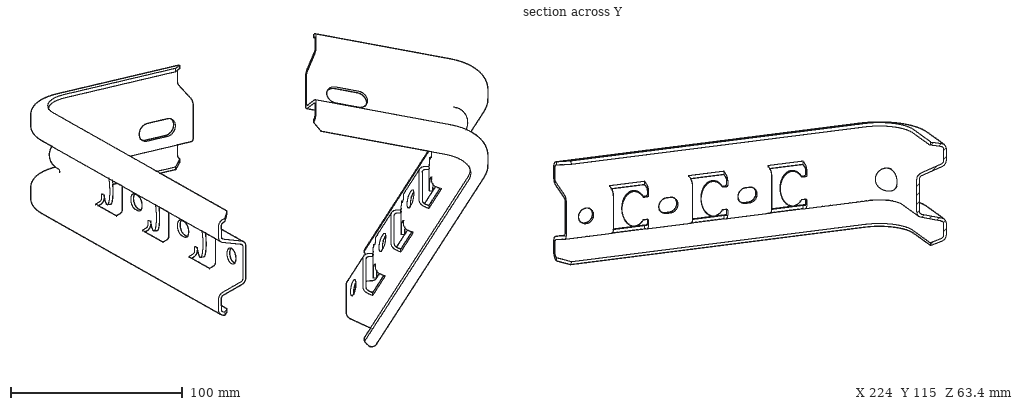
import cadquery as cq
import math

LONG_ARM_X = 224.0
SHORT_ARM_Y = 115.0
RAIL_WIDTH = 63.43
RAIL_DEPTH = 19.0

SHEET = 2.0
INNER_BEND = 2.0
OUTER_BEND = INNER_BEND + SHEET
WEB_HALF_FLAT = 9.8
FLANK_ANGLE = 17.0
LIP_ANGLE = 14.0
LIP_DEPTH = 10.0
LIP_BEVEL_ALONG = 6.4
LIP_BEVEL_ACROSS = 5.6
BETWEEN_LIPS = RAIL_WIDTH - 4 * OUTER_BEND

CORNER_RADIUS = 31.5

PITCH = 50.0
SLOT_COUNT = 2
WINDOW_COUNT = 3
FIRST_WINDOW_X = 72.0
WINDOW_LENGTH = 22.2
WINDOW_DEPTH = 6.0
FIRST_SLOT_X = 109.5
SLOT_LENGTH = 12.0
SLOT_HEIGHT = 9.5
END_HOLE_X = 211.5
END_HOLE_DIAMETER = 9.5

NECK_HALF_HEIGHT = 6.9
NECK_FILLET = 0.9
NECK_LENGTH = 3.6
TAB_BEND_X = 3.0
TAB_ANGLE = 17.0
TAB_CENTRE_X = 8.7
TAB_HALF_LENGTH = 7.1
TAB_HALF_HEIGHT = 10.6

ARM_SLOT_LENGTH = 25.0
ARM_SLOT_HEIGHT = 11.0
ARM_SLOT_FROM_END = 25.0

DOME_RADIUS = 9.0
DOME_TIP_RADIUS = 20.9
DOME_FILLET = 1.5


def profile_face():
    """Closed rail section in the YZ plane: Y is depth (0 at the front), Z is width."""
    flank = math.radians(FLANK_ANGLE)
    lip = math.radians(LIP_ANGLE)
    flank_turn = math.pi / 2 - flank
    web_front = RAIL_DEPTH - SHEET

    lip_end = (LIP_DEPTH, RAIL_WIDTH / 2)
    outer = (0.0, RAIL_WIDTH / 2 - LIP_DEPTH * math.tan(lip))
    web_corner_z = WEB_HALF_FLAT + INNER_BEND * math.tan(flank_turn / 2)
    web = (web_front, web_corner_z)
    inner = (0.0, web_corner_z + web_front * math.tan(flank))

    lip_shift = SHEET * math.tan((math.pi / 2 - lip) / 2)
    flank_shift = SHEET * math.tan(flank_turn / 2)
    lip_end_back = (LIP_DEPTH + SHEET * math.sin(lip), RAIL_WIDTH / 2 - SHEET * math.cos(lip))
    outer_back = (SHEET, outer[1] - lip_shift)
    inner_back = (SHEET, inner[1] + flank_shift)
    web_back = (RAIL_DEPTH, web[1] + flank_shift)

    upper_front = [lip_end, outer, inner, web]
    upper_back = [web_back, inner_back, outer_back, lip_end_back]
    lower_front = [(y, -z) for y, z in reversed(upper_front)]
    lower_back = [(y, -z) for y, z in reversed(upper_back)]
    outline = upper_front + lower_front + lower_back + upper_back
    points = [cq.Vector(0, y, z) for y, z in outline]
    face = cq.Face.makeFromWires(cq.Wire.makePolygon(points, close=True))

    def rounded(section, corners, radius):
        targets = [cq.Vector(0, y, side * z) for y, z in corners for side in (1, -1)]
        vertices = [
            v for v in section.Vertices()
            if any((v.Center() - target).Length < SHEET / 100 for target in targets)
        ]
        return section.fillet2D(radius, vertices)

    face = rounded(face, [outer, inner, web_back], OUTER_BEND)
    return rounded(face, [web, outer_back, inner_back], INNER_BEND)


def make_rail():
    """Two straight arms joined by a quarter-turn bend."""
    section = profile_face().translate(cq.Vector(CORNER_RADIUS, 0, 0))
    axis_start = cq.Vector(CORNER_RADIUS, CORNER_RADIUS, 0)
    axis_end = axis_start + cq.Vector(0, 0, 1)
    long_arm = cq.Solid.extrudeLinear(section, cq.Vector(LONG_ARM_X - CORNER_RADIUS, 0, 0))
    bend = cq.Solid.revolve(section, -90, axis_start, axis_end)
    short_section = section.rotate(axis_start, axis_end, -90)
    short_arm = cq.Solid.extrudeLinear(short_section, cq.Vector(0, SHORT_ARM_Y - CORNER_RADIUS, 0))
    return cq.Workplane(long_arm).union(cq.Workplane(bend)).union(cq.Workplane(short_arm))


def lip_corner_cutter(arm_end, swap_axes):
    """Prism that bevels the free corner of both lips at the end of one arm."""
    clear_depth = LIP_DEPTH + SHEET
    clear_run = LIP_BEVEL_ALONG * (SHEET + LIP_BEVEL_ACROSS) / LIP_BEVEL_ACROSS
    corners = [
        (arm_end, LIP_DEPTH - LIP_BEVEL_ACROSS),
        (arm_end, clear_depth),
        (arm_end - clear_run, clear_depth),
    ]
    if swap_axes:
        corners = [(depth, along) for along, depth in corners]
    triangle = cq.Workplane().polyline(corners).close()
    between_lips = cq.Workplane().box(2 * LONG_ARM_X, 2 * SHORT_ARM_Y, BETWEEN_LIPS)
    return triangle.extrude(RAIL_WIDTH / 2, both=True).cut(between_lips)


def diagonal_place(body, radius):
    """Stand a body built along +Z on the corner's outward diagonal, at a radius from the bend axis."""
    upright = body.translate((0, 0, radius)).rotate((0, 0, 0), (0, 1, 0), -90)
    return upright.rotate((0, 0, 0), (0, 0, 1), 45).translate((CORNER_RADIUS, CORNER_RADIUS, 0))


def add_dome(rail):
    """Press a hollow dome out of the corner web and blend its foot into the web."""
    centre_radius = DOME_TIP_RADIUS - DOME_RADIUS
    web_radius = CORNER_RADIUS - RAIL_DEPTH + SHEET
    bend_axis = cq.Workplane().center(CORNER_RADIUS, CORNER_RADIUS)
    bend_core = bend_axis.circle(web_radius - SHEET / 2).extrude(RAIL_WIDTH / 2, both=True)
    ball = diagonal_place(cq.Workplane().sphere(DOME_RADIUS), centre_radius).cut(bend_core)
    cavity = diagonal_place(cq.Workplane().sphere(DOME_RADIUS - SHEET), centre_radius)
    foot = cq.selectors.BoxSelector(
        (0, 0, -WEB_HALF_FLAT / 2),
        (CORNER_RADIUS - SHEET / 10, CORNER_RADIUS - SHEET / 10, WEB_HALF_FLAT / 2),
    )
    return rail.union(ball).edges(foot).fillet(DOME_FILLET).cut(cavity)


def slot_cutter(length, height):
    """Round-ended slot along X, long enough in Y to pass through the rail."""
    return cq.Workplane("XZ").slot2D(length, height).extrude(RAIL_DEPTH * 2, both=True)


def make_window():
    """Window cut through the web and flanks, measured from its -X side."""
    window = cq.Workplane().box(
        WINDOW_LENGTH, WINDOW_DEPTH, BETWEEN_LIPS, centered=(False, False, True)
    )
    return window.translate((0, RAIL_DEPTH - WINDOW_DEPTH, 0))


def make_tab():
    """Elliptical tab on a short neck, bent toward the front, measured from the window's -X side."""
    tilt = math.radians(TAB_ANGLE)
    reach = TAB_CENTRE_X + TAB_HALF_LENGTH
    web_front = RAIL_DEPTH - SHEET

    front_bend = (TAB_BEND_X - SHEET * math.tan(tilt / 2), web_front)
    back_bend = (TAB_BEND_X, RAIL_DEPTH)
    back_end = (TAB_BEND_X + reach * math.cos(tilt), RAIL_DEPTH - reach * math.sin(tilt))
    front_end = (back_end[0] - SHEET * math.sin(tilt), back_end[1] - SHEET * math.cos(tilt))
    strip_outline = [
        (-TAB_BEND_X, web_front), front_bend, front_end,
        back_end, back_bend, (-TAB_BEND_X, RAIL_DEPTH),
    ]
    strip = cq.Workplane().polyline(strip_outline).close().extrude(TAB_HALF_HEIGHT, both=True)
    strip = strip.edges(cq.NearestToPointSelector((*front_bend, 0))).fillet(INNER_BEND)
    strip = strip.edges(cq.NearestToPointSelector((*back_bend, 0))).fillet(OUTER_BEND)

    neck = cq.Workplane().box(2 * NECK_LENGTH, 2 * RAIL_DEPTH, 2 * NECK_HALF_HEIGHT)
    neck = neck.translate((0, RAIL_DEPTH, 0))
    ellipse = cq.Workplane("XZ", origin=(TAB_CENTRE_X, RAIL_DEPTH, 0))
    blade = ellipse.ellipse(TAB_HALF_LENGTH, TAB_HALF_HEIGHT).extrude(2 * SHEET, both=True)
    blade = blade.rotate((*back_bend, 0), (*back_bend, 1), -TAB_ANGLE)
    return strip.intersect(neck.union(blade))


def add_tab(rail, window_x):
    """Join a tab to the -X side of a window and round the corners beside its neck."""
    rail = rail.union(make_tab().translate((window_x, 0, 0)))
    for side in (1, -1):
        corner = (window_x, RAIL_DEPTH - SHEET / 2, side * NECK_HALF_HEIGHT)
        rail = rail.edges("|Y").edges(cq.NearestToPointSelector(corner)).fillet(NECK_FILLET)
    return rail


rail = make_rail()
rail = rail.cut(lip_corner_cutter(LONG_ARM_X, swap_axes=False))
rail = rail.cut(lip_corner_cutter(SHORT_ARM_Y, swap_axes=True))
rail = add_dome(rail)

for index in range(WINDOW_COUNT):
    window_x = FIRST_WINDOW_X + index * PITCH
    rail = rail.cut(make_window().translate((window_x, 0, 0)))
    rail = add_tab(rail, window_x)

for index in range(SLOT_COUNT):
    slot = slot_cutter(SLOT_LENGTH, SLOT_HEIGHT)
    rail = rail.cut(slot.translate((FIRST_SLOT_X + index * PITCH, 0, 0)))

end_hole = cq.Workplane("XZ").circle(END_HOLE_DIAMETER / 2).extrude(2 * RAIL_DEPTH, both=True)
rail = rail.cut(end_hole.translate((END_HOLE_X, 0, 0)))

arm_slot = slot_cutter(ARM_SLOT_LENGTH, ARM_SLOT_HEIGHT).rotate((0, 0, 0), (0, 0, 1), 90)
rail = rail.cut(arm_slot.translate((0, SHORT_ARM_Y - ARM_SLOT_FROM_END, 0)))

result = rail